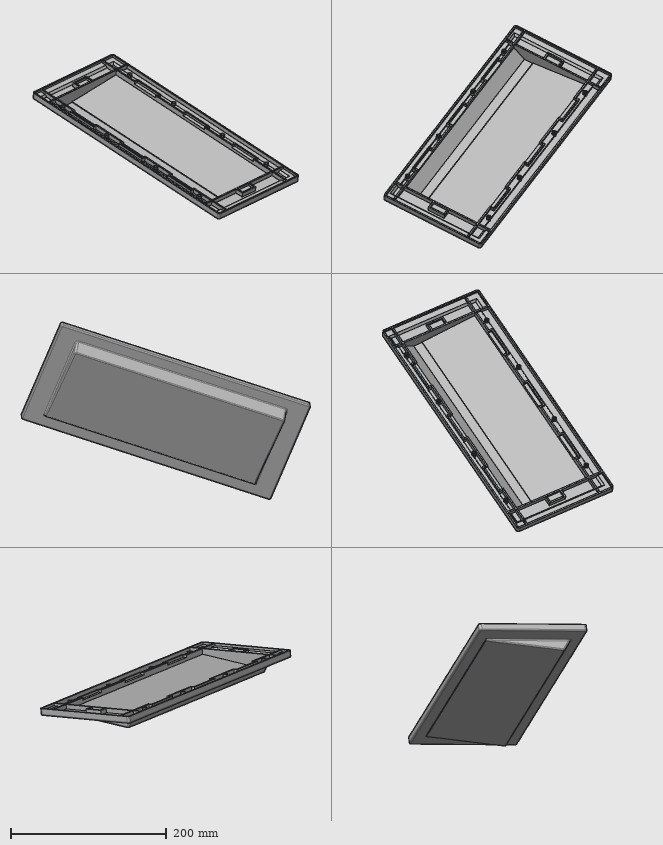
import cadquery as cq
import math

tilt = 7
length = 345.8
width = 145.2
thickness = 9.5
corner_radius = 3.0
edge_radius = 1.7
wall = 2.0
shelf_depth = 3.0
floor_depth = 6.0
drop = floor_depth - shelf_depth
inner_x = length / 2 - wall
inner_y = width / 2 - wall

rib_x = 143.5
rib_front = -57.0
rib_back = 50.5

pocket_x = 163.0
pocket_front = -68.0
pocket_back = 64.5

front_channel_edge = -64.5
back_channel_edge = 60.0

jog_count = 3
jog_pitch = 90.2
jog_length = 43.2
jog_reach = 5.2

boss_diameter = 6.0
boss_hole_diameter = 4.0
boss_x = (45.3, 126.5)
boss_front = -63.0
boss_back = 58.0

box_reach = 11.5
box_front = -15.0
box_back = 9.5

foot_x = rib_x + wall
foot_back = 55.3
foot_heel = -50.5
foot_heel_top = -58.8
heel_radius = 2.5
foot_radius = 1.7

overlap = 0.7
tolerance = 0.05

floor_z = 4.5
ledge_drop = 1.0
ledge_back = -29.5
ledge_front = -42.0
ramp_angle = 41.2
opening_reach = 69

slope = math.tan(math.radians(tilt))
top_center_z = width / 2 * math.sin(math.radians(tilt)) + thickness * math.cos(math.radians(tilt))


def block(x_range, y_range, z_range):
    """Box from its limits along each axis, given in either order."""
    lows = [min(r) for r in (x_range, y_range, z_range)]
    sizes = [abs(r[1] - r[0]) for r in (x_range, y_range, z_range)]
    return cq.Workplane("XY").box(*sizes, centered=False).translate(tuple(lows))


def to_tilted(body):
    """Move a body from the flat tray frame to the upright frame."""
    return body.translate((0, 0, top_center_z)).rotate((0, 0, top_center_z), (1, 0, top_center_z), -tilt)


def to_flat(body):
    """Move a body from the upright frame to the flat tray frame."""
    return body.rotate((0, 0, top_center_z), (1, 0, top_center_z), tilt).translate((0, 0, -top_center_z))


def underside_z(y):
    """Height of the tray's underside in the upright frame."""
    return top_center_z - y * slope - thickness / math.cos(math.radians(tilt))


def make_slab():
    slab = block((-length / 2, length / 2), (-width / 2, width / 2), (-thickness, 0))
    slab = slab.edges("|Z").fillet(corner_radius)
    return slab.faces("<Z").edges().fillet(edge_radius)


def make_foot():
    """Solid wedge with a sloping heel, reaching slightly into the tray."""
    profile = [
        (foot_heel, 0),
        (foot_back, 0),
        (foot_back, underside_z(foot_back) + overlap),
        (foot_heel_top, underside_z(foot_heel_top) + overlap),
    ]
    foot = cq.Workplane("YZ").polyline(profile).close().extrude(foot_x, both=True)
    return foot.faces("<Y").edges("not |X").fillet(heel_radius)


def join_foot(slab, foot):
    """Join the foot under the slab and round its root and bottom edges, sides and heel only."""
    reach = foot_x + overlap
    root = cq.selectors.BoxSelector(
        (-reach, foot_heel_top - overlap - wall, -thickness - tolerance),
        (reach, foot_back - overlap, -thickness + tolerance),
    )
    body = slab.union(to_flat(foot)).edges(root).fillet(foot_radius)
    bottom = cq.selectors.BoxSelector(
        (-reach, foot_heel - overlap, -tolerance),
        (reach, foot_back - overlap, tolerance),
    )
    return to_flat(to_tilted(body).edges(bottom).fillet(foot_radius))


def tray_recesses():
    """Shelf-level recess, bevelled end pockets and the deeper channels beside the long ribs."""
    recess = block((-inner_x, inner_x), (-inner_y, inner_y), (-shelf_depth, 0))
    deep = (-floor_depth, 0)
    recess = recess.union(block((-rib_x, rib_x), (front_channel_edge, rib_front), deep))
    recess = recess.union(block((-rib_x, rib_x), (back_channel_edge, inner_y), deep))
    pocket = block((-pocket_x, pocket_x), (pocket_front, pocket_back), deep)
    pocket = pocket.faces("<Z").edges().chamfer(drop)
    for side in (-1, 1):
        bay = block((side * rib_x, side * length / 2), (-width / 2, width / 2), deep)
        recess = recess.union(pocket.intersect(bay))
    return recess


def make_ribs():
    """Rib grid with jogs and catch boxes, hollowed to shelf level inside each of them."""
    tall = (-floor_depth - overlap, 0)
    hollow = (-shelf_depth, 0)
    x_span = (-inner_x - overlap, inner_x + overlap)
    y_span = (-inner_y - overlap, inner_y + overlap)
    ribs = block(x_span, (rib_back, rib_back + wall), tall)
    ribs = ribs.union(block(x_span, (rib_front - wall, rib_front), tall))
    hollows = []

    for side in (-1, 1):
        near = side * rib_x
        outer = side * (rib_x + wall)
        ribs = ribs.union(block((near, outer), y_span, tall))
        ribs = ribs.union(block((near, side * (rib_x + wall + box_reach)), (box_front, box_back), tall))
        box_inside = (box_front + wall, box_back - wall)
        hollows.append(block((outer, side * (rib_x + box_reach)), box_inside, hollow))

    for index in range(jog_count):
        center = (index - (jog_count - 1) / 2) * jog_pitch
        outside = (center - jog_length / 2, center + jog_length / 2)
        inside = (outside[0] + wall, outside[1] - wall)
        for near, direction in ((rib_back, 1), (rib_front, -1)):
            jog_inner = near + direction * jog_reach
            ribs = ribs.union(block(outside, (near, jog_inner + direction * wall), tall))
            hollows.append(block(inside, (near, jog_inner), hollow))

    for pocket in hollows:
        ribs = ribs.cut(pocket)
    return ribs


def boss_cylinders(diameter, depth):
    points = [(side * x, y) for side in (-1, 1) for x in boss_x for y in (boss_front, boss_back)]
    plane = cq.Workplane("XY", origin=(0, 0, -depth))
    return plane.pushPoints(points).circle(diameter / 2).extrude(depth)


def central_opening():
    """Space inside the ribs, from the foot's floor up through the top of the tray."""
    ledge_z = floor_z - ledge_drop
    ramp_foot_z = ledge_z + (ledge_back - ledge_front) * slope
    ramp_rise = (opening_reach + ledge_front) * math.tan(math.radians(ramp_angle))
    profile = [
        (opening_reach, floor_z),
        (ledge_back, floor_z),
        (ledge_back, ledge_z),
        (ledge_front, ramp_foot_z),
        (-opening_reach, ramp_foot_z + ramp_rise),
        (-opening_reach, opening_reach),
        (opening_reach, opening_reach),
    ]
    space = cq.Workplane("YZ").polyline(profile).close().extrude(rib_x, both=True)
    bounds = block((-rib_x, rib_x), (rib_front, rib_back), (-opening_reach, opening_reach))
    return to_flat(space).intersect(bounds)


tray = join_foot(make_slab(), make_foot())
tray = tray.cut(tray_recesses())
tray = tray.union(make_ribs())
tray = tray.union(boss_cylinders(boss_diameter, floor_depth + overlap))
tray = tray.cut(boss_cylinders(boss_hole_diameter, shelf_depth))
tray = tray.cut(central_opening())
result = to_tilted(tray)